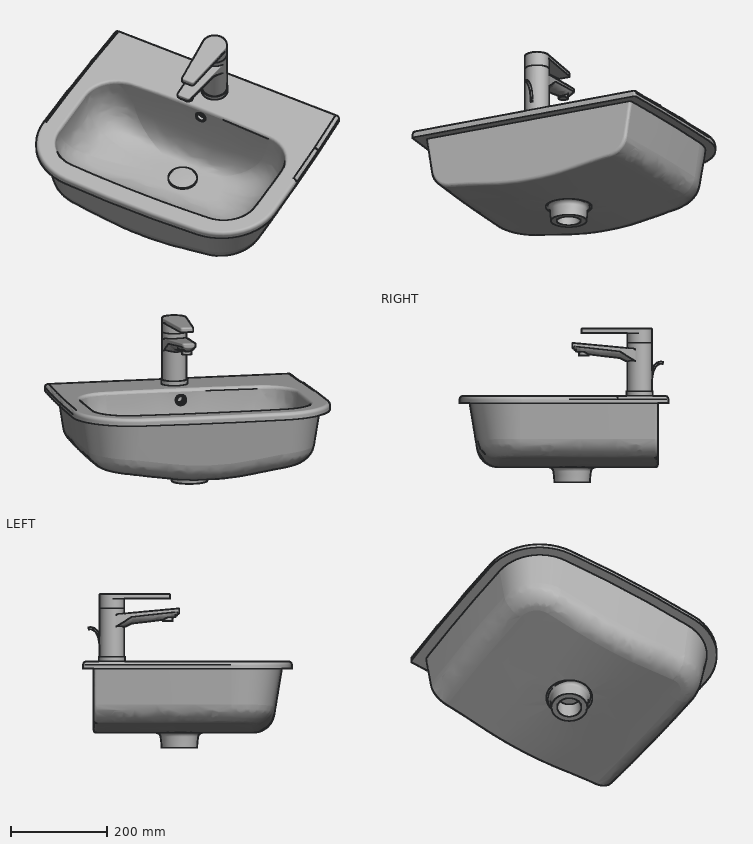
import cadquery as cq
import math


SELECTION_MARGIN = 1.0

RIM_HALF_WIDTH = 272.5
RIM_BACK_Y = 200.0
RIM_FRONT_Y = -234.5
RIM_THICKNESS = 15.0
RIM_EDGE_RADIUS = 7.5
RIM_CORNER_RADIUS = 5.0
SIDE_TAPER = 10.0
FRONT_HALF_LENGTH = 155.5
BOW_ANGLE = math.radians(3.4)

SHELL_INSET = 22.0
SHELL_FRONT_INSET = 20.5
SHELL_DRAFT_SIDE = 0.16
SHELL_DRAFT_FRONT = 0.17
SHELL_CUT_Z = -163.5
SHELL_BOTTOM_RADIUS = 46.0
SHELL_BACK_RADIUS = 6.5
FLOOR_MIDDLE_Z = -149.0
FLOOR_SLOPE_Z = -147.0
FLOOR_SLOPE_X = 46.5
FLOOR_KNEE_Z = -132.0
FLOOR_KNEE_X = 158.0
FLOOR_SIDE_Z = -129.5

NECK_BOTTOM_Z = -180.0
NECK_BOTTOM_RADIUS = 37.0
NECK_TOP_Z = -157.5
NECK_TOP_RADIUS = 39.0
NECK_FLARE = 8.5
DRAIN_BORE_DIAMETER = 50.0

BOWL_HALF_WIDTH = 229.5
BOWL_FRONT_Y = -191.5
BOWL_BACK_Y = 79.5
BOWL_END_HALF_LENGTH = 161.0
BOWL_SIDE_BOW = 0.5
BOWL_DEPTH = 136.0
BOWL_LIP_RADIUS = 6.5
BOWL_STEEP = 2.4
BOWL_GENTLE = 1.5
BOWL_LEVELS = (0.0, 0.3, 0.55, 0.75, 0.9, 1.0)
SEAT_DIAMETER = 65.5
SEAT_DEPTH = 4.5
SEAT_SIDE_ANGLE = math.radians(14)
SEAT_END_ANGLE = math.radians(44)

PLUG_DIAMETER = 60.0
PLUG_THICKNESS = 7.5
PLUG_DOME = 4.0

OVERFLOW_Z = -24.0
OVERFLOW_OUTER_DIAMETER = 23.0
OVERFLOW_INNER_DIAMETER = 16.0
OVERFLOW_FACE_Y = 78.0
OVERFLOW_RING_END_Y = 87.0
OVERFLOW_HOLE_END_Y = 98.0

TAP_Y = 140.0
TAP_DIAMETER = 52.0
TAP_BASE_DIAMETER = 55.0
TAP_BASE_HEIGHT = 9.0
TAP_JOINT_Z = 109.5
TAP_TOP_Z = 140.0

LEVER_THICKNESS = 10.0
LEVER_TIP_Y = 19.0
LEVER_TIP_HALF_WIDTH = 13.5
LEVER_TIP_RADIUS = 5.5
LEVER_EDGE_RADIUS = 3.0

SPOUT_TIP_HALF_WIDTH = 14.0
SPOUT_ROOT_HALF_WIDTH = 25.0
SPOUT_TIP_TOP_Z = 110.0
SPOUT_ROOT_TOP_Z = 97.0
SPOUT_STATIONS = (
    (TAP_Y, 66.5, 59.0),
    (98.5, 92.0, 78.0),
    (30.5, 100.0, 86.0),
    (8.5, 102.0, 91.5),
    (0.0, 103.0, 100.5),
)
SPOUT_TIP_RADIUS = 5.5
SPOUT_EDGE_RADIUS = 2.0

AERATOR_Y = 24.0
AERATOR_DIAMETER = 20.0
AERATOR_BOTTOM_Z = 83.5
AERATOR_TOP_Z = 95.5

ROD_DIAMETER = 5.0
ROD_PATH = ((163.5, 30.0), (166.0, 49.0), (174.0, 64.0), (181.0, 68.0), (188.5, 68.0))


def rim_outline(half_width, front_y, back_y, z):
    """Wire with a straight back, slightly bowed sides and front, and tangent front corners."""
    corner_radius = (half_width - FRONT_HALF_LENGTH) / (1 - math.sin(BOW_ANGLE))
    end_y = front_y + FRONT_HALF_LENGTH * math.tan(BOW_ANGLE / 2)
    side_y = end_y + corner_radius * math.cos(BOW_ANGLE)
    middle_angle = math.radians(45) - BOW_ANGLE / 2
    corner_x = half_width - corner_radius * (1 - math.cos(middle_angle))
    corner_y = side_y - corner_radius * math.sin(middle_angle)
    back_x = half_width - SIDE_TAPER
    side_mid_x = half_width - SIDE_TAPER / 4
    side_mid_y = (side_y + back_y) / 2
    return (
        cq.Workplane("XY", origin=(0, 0, z))
        .moveTo(-FRONT_HALF_LENGTH, end_y)
        .threePointArc((0, front_y), (FRONT_HALF_LENGTH, end_y))
        .threePointArc((corner_x, corner_y), (half_width, side_y))
        .threePointArc((side_mid_x, side_mid_y), (back_x, back_y))
        .lineTo(-back_x, back_y)
        .threePointArc((-side_mid_x, side_mid_y), (-half_width, side_y))
        .threePointArc((-corner_x, corner_y), (-FRONT_HALF_LENGTH, end_y))
        .close()
    )


def make_rim():
    rim = rim_outline(RIM_HALF_WIDTH, RIM_FRONT_Y, RIM_BACK_Y, -RIM_THICKNESS).extrude(RIM_THICKNESS)
    back_corners = rim.edges("|Z").edges(">Y")
    rim = back_corners.fillet(RIM_CORNER_RADIUS)
    return rim.faces(">Z").edges().fillet(RIM_EDGE_RADIUS)


def shell_outline(z):
    depth = -RIM_THICKNESS - z
    return rim_outline(
        RIM_HALF_WIDTH - SHELL_INSET - SHELL_DRAFT_SIDE * depth,
        RIM_FRONT_Y + SHELL_FRONT_INSET + SHELL_DRAFT_FRONT * depth,
        RIM_BACK_Y - SHELL_INSET,
        z,
    ).val()


def make_shell():
    """Drafted shell whose floor slopes from both sides down to the drain, with rounded edges."""
    drafted = cq.Workplane(
        cq.Solid.makeLoft([shell_outline(-RIM_THICKNESS), shell_outline(SHELL_CUT_Z)], True)
    )
    floor_points = [
        (-FLOOR_KNEE_X, FLOOR_KNEE_Z),
        (-FLOOR_SLOPE_X, FLOOR_SLOPE_Z),
        (0, FLOOR_MIDDLE_Z),
        (FLOOR_SLOPE_X, FLOOR_SLOPE_Z),
        (FLOOR_KNEE_X, FLOOR_KNEE_Z),
        (RIM_HALF_WIDTH, FLOOR_SIDE_Z),
    ]
    above_floor = (
        cq.Workplane("XZ", origin=(0, RIM_BACK_Y, 0))
        .moveTo(-RIM_HALF_WIDTH, FLOOR_SIDE_Z)
        .spline(floor_points, includeCurrent=True)
        .lineTo(RIM_HALF_WIDTH, 0)
        .lineTo(-RIM_HALF_WIDTH, 0)
        .close()
        .extrude(RIM_BACK_Y - RIM_FRONT_Y)
    )
    shell = drafted.intersect(above_floor)
    back_limit = RIM_BACK_Y - SHELL_INSET - SELECTION_MARGIN
    floor_edges = shell.faces("<Z").edges().filter(lambda edge: edge.Center().y < back_limit)
    shell = shell.newObject(floor_edges.vals()).fillet(SHELL_BOTTOM_RADIUS)
    top_limit = -RIM_THICKNESS - SELECTION_MARGIN
    back_edges = shell.faces(">Y").edges().filter(lambda edge: edge.Center().z < top_limit)
    return shell.newObject(back_edges.vals()).fillet(SHELL_BACK_RADIUS)


def make_neck():
    """Tapered outlet whose top flares out into the floor of the shell."""
    flare_top_z = NECK_TOP_Z + NECK_FLARE
    flare_mid = NECK_FLARE * math.sqrt(0.5)
    return (
        cq.Workplane("XZ")
        .moveTo(0, NECK_BOTTOM_Z)
        .lineTo(NECK_BOTTOM_RADIUS, NECK_BOTTOM_Z)
        .lineTo(NECK_TOP_RADIUS, NECK_TOP_Z)
        .threePointArc(
            (NECK_TOP_RADIUS + NECK_FLARE - flare_mid, NECK_TOP_Z + flare_mid),
            (NECK_TOP_RADIUS + NECK_FLARE, flare_top_z),
        )
        .lineTo(0, -BOWL_DEPTH)
        .close()
        .revolve(360, (0, 0), (0, 1))
    )


def inward_share(depth_share, exponent):
    """How far a superellipse wall has moved in from the lip at a share of the depth."""
    return 1 - (1 - depth_share**exponent) ** (1 / exponent)


def bowl_end_points(end_y):
    """Corner start, corner middle, corner end and end middle of the +X half of one bowl end."""
    direction = math.copysign(1, end_y)
    corner_radius = (BOWL_HALF_WIDTH - BOWL_END_HALF_LENGTH) / (1 - math.sin(BOW_ANGLE))
    corner_end_y = end_y - direction * BOWL_END_HALF_LENGTH * math.tan(BOW_ANGLE / 2)
    side_y = corner_end_y - direction * corner_radius * math.cos(BOW_ANGLE)
    middle_angle = math.radians(45) - BOW_ANGLE / 2
    return [
        (BOWL_HALF_WIDTH, side_y),
        (
            BOWL_HALF_WIDTH - corner_radius * (1 - math.cos(middle_angle)),
            side_y + direction * corner_radius * math.sin(middle_angle),
        ),
        (BOWL_END_HALF_LENGTH, corner_end_y),
        (0, end_y),
    ]


def seat_end_points(direction):
    """Points on the drain seat that the bowl end points run down to."""
    radius = SEAT_DIAMETER / 2
    angles = (SEAT_SIDE_ANGLE, (SEAT_SIDE_ANGLE + SEAT_END_ANGLE) / 2, SEAT_END_ANGLE, math.pi / 2)
    return [(radius * math.cos(angle), direction * radius * math.sin(angle)) for angle in angles]


def bowl_section(depth_share):
    """Closed wire of eight arcs, blended from the lip outline to the round drain seat."""
    share_x = inward_share(depth_share, BOWL_STEEP)

    def blend(lip_points, seat_points, share_y):
        return [
            (lip[0] + (seat[0] - lip[0]) * share_x, lip[1] + (seat[1] - lip[1]) * share_y)
            for lip, seat in zip(lip_points, seat_points)
        ]

    front = blend(bowl_end_points(BOWL_FRONT_Y), seat_end_points(-1), inward_share(depth_share, BOWL_GENTLE))
    back = blend(bowl_end_points(BOWL_BACK_Y), seat_end_points(1), share_x)
    lip_side_x = BOWL_HALF_WIDTH + BOWL_SIDE_BOW
    side_x = lip_side_x + (SEAT_DIAMETER / 2 - lip_side_x) * share_x
    side_y = (front[0][1] + back[0][1]) / 2

    def mirrored(point):
        return (-point[0], point[1])

    return (
        cq.Workplane("XY", origin=(0, 0, -BOWL_DEPTH * depth_share))
        .moveTo(*front[0])
        .threePointArc((side_x, side_y), back[0])
        .threePointArc(back[1], back[2])
        .threePointArc(back[3], mirrored(back[2]))
        .threePointArc(mirrored(back[1]), mirrored(back[0]))
        .threePointArc((-side_x, side_y), mirrored(front[0]))
        .threePointArc(mirrored(front[1]), mirrored(front[2]))
        .threePointArc(front[3], front[2])
        .threePointArc(front[1], front[0])
        .close()
        .val()
    )


def make_bowl_hollow():
    return cq.Workplane(cq.Solid.makeLoft([bowl_section(level) for level in BOWL_LEVELS]))


def cylinder(diameter, height, x, y, z):
    return cq.Workplane("XY", origin=(x, y, z)).circle(diameter / 2).extrude(height)


def overflow_cylinder(diameter, end_y):
    """Cylinder running back along +Y from the face of the overflow ring."""
    return (
        cq.Workplane("XZ", origin=(0, OVERFLOW_FACE_Y, OVERFLOW_Z))
        .circle(diameter / 2)
        .extrude(OVERFLOW_FACE_Y - end_y)
    )


def make_basin():
    basin = make_rim().union(make_shell()).union(make_neck()).cut(make_bowl_hollow())
    lip_edges = basin.faces(">Z").edges().filter(
        lambda edge: abs(edge.Center().x) < BOWL_HALF_WIDTH + SELECTION_MARGIN
        and BOWL_FRONT_Y - SELECTION_MARGIN < edge.Center().y < BOWL_BACK_Y + SELECTION_MARGIN
    )
    basin = basin.newObject(lip_edges.vals()).fillet(BOWL_LIP_RADIUS)
    seat_z = -BOWL_DEPTH - SEAT_DEPTH
    basin = basin.cut(cylinder(PLUG_DIAMETER, SEAT_DEPTH, 0, 0, seat_z))
    basin = basin.cut(cylinder(DRAIN_BORE_DIAMETER, seat_z - NECK_BOTTOM_Z, 0, 0, NECK_BOTTOM_Z))
    basin = basin.cut(overflow_cylinder(OVERFLOW_OUTER_DIAMETER, OVERFLOW_RING_END_Y))
    return basin.cut(overflow_cylinder(OVERFLOW_INNER_DIAMETER, OVERFLOW_HOLE_END_Y))


def make_plug():
    """Round cap with a shallow domed top, resting in the drain seat."""
    radius = PLUG_DIAMETER / 2
    bottom_z = -BOWL_DEPTH - SEAT_DEPTH
    edge_z = bottom_z + PLUG_THICKNESS
    dome_radius = (radius**2 + PLUG_DOME**2) / (2 * PLUG_DOME)
    half_x = radius / 2
    half_z = edge_z + PLUG_DOME - dome_radius + math.sqrt(dome_radius**2 - half_x**2)
    return (
        cq.Workplane("XZ")
        .moveTo(0, bottom_z)
        .lineTo(radius, bottom_z)
        .lineTo(radius, edge_z)
        .threePointArc((half_x, half_z), (0, edge_z + PLUG_DOME))
        .close()
        .revolve(360, (0, 0), (0, 1))
    )


def make_overflow_ring():
    ring = overflow_cylinder(OVERFLOW_OUTER_DIAMETER, OVERFLOW_RING_END_Y)
    return ring.cut(overflow_cylinder(OVERFLOW_INNER_DIAMETER, OVERFLOW_RING_END_Y))


def make_tap_base():
    return cylinder(TAP_BASE_DIAMETER, TAP_BASE_HEIGHT, 0, TAP_Y, 0)


def spout_section(y, side_z, under_z):
    """Flat-topped section with upright sides and a rounded underside."""
    root_share = y / TAP_Y
    half_width = SPOUT_TIP_HALF_WIDTH + (SPOUT_ROOT_HALF_WIDTH - SPOUT_TIP_HALF_WIDTH) * root_share
    top_z = SPOUT_TIP_TOP_Z + (SPOUT_ROOT_TOP_Z - SPOUT_TIP_TOP_Z) * root_share
    return (
        cq.Workplane("XZ", origin=(0, y, 0))
        .moveTo(-half_width, side_z)
        .lineTo(-half_width, top_z)
        .lineTo(half_width, top_z)
        .lineTo(half_width, side_z)
        .threePointArc((0, under_z), (-half_width, side_z))
        .close()
        .val()
    )


def make_spout():
    sections = [spout_section(*station) for station in SPOUT_STATIONS]
    spout = cq.Workplane(cq.Solid.makeLoft(sections, True)).clean()
    spout = spout.faces("<Y").edges("|Z").fillet(SPOUT_TIP_RADIUS)
    top_edges = spout.faces(">Z").edges("not >Y")
    return top_edges.fillet(SPOUT_EDGE_RADIUS)


def make_tap_body(aerator, rod):
    column = cylinder(TAP_DIAMETER, TAP_JOINT_Z - TAP_BASE_HEIGHT, 0, TAP_Y, TAP_BASE_HEIGHT)
    return column.union(make_spout()).cut(aerator).cut(rod)


def make_aerator():
    return cylinder(AERATOR_DIAMETER, AERATOR_TOP_Z - AERATOR_BOTTOM_Z, 0, AERATOR_Y, AERATOR_BOTTOM_Z)


def make_handle():
    """Round cap on top of the tap with a flat lever that narrows towards the front."""
    radius = TAP_DIAMETER / 2
    lever_length = TAP_Y - LEVER_TIP_Y
    taper = math.asin(radius / math.hypot(lever_length, LEVER_TIP_HALF_WIDTH)) - math.atan2(
        LEVER_TIP_HALF_WIDTH, lever_length
    )
    tangent_x = radius * math.cos(taper)
    tangent_y = TAP_Y - radius * math.sin(taper)
    lever = (
        cq.Workplane("XY", origin=(0, 0, TAP_TOP_Z - LEVER_THICKNESS))
        .moveTo(-LEVER_TIP_HALF_WIDTH, LEVER_TIP_Y)
        .lineTo(LEVER_TIP_HALF_WIDTH, LEVER_TIP_Y)
        .lineTo(tangent_x, tangent_y)
        .threePointArc((0, TAP_Y + radius), (-tangent_x, tangent_y))
        .close()
        .extrude(LEVER_THICKNESS)
        .edges("|Z and <Y")
        .fillet(LEVER_TIP_RADIUS)
        .faces(">Z")
        .edges()
        .fillet(LEVER_EDGE_RADIUS)
    )
    cap = cylinder(TAP_DIAMETER, TAP_TOP_Z - LEVER_THICKNESS - TAP_JOINT_Z, 0, TAP_Y, TAP_JOINT_Z)
    return cap.union(lever)


def make_pull_rod():
    path = cq.Workplane("YZ").spline(ROD_PATH)
    start_y, start_z = ROD_PATH[0]
    start_direction = path.val().tangentAt(0).toTuple()
    start_plane = cq.Plane(origin=(0, start_y, start_z), xDir=(1, 0, 0), normal=start_direction)
    return cq.Workplane(start_plane).circle(ROD_DIAMETER / 2).sweep(path)


basin = make_basin()
plug = make_plug()
overflow_ring = make_overflow_ring()
tap_base = make_tap_base()
aerator = make_aerator()
pull_rod = make_pull_rod()
tap_body = make_tap_body(aerator, pull_rod)
handle = make_handle()

result = cq.Compound.makeCompound([
    basin.solids().val(),
    plug.val(),
    overflow_ring.solids().val(),
    tap_base.val(),
    tap_body.solids().val(),
    aerator.val(),
    handle.solids().val(),
    pull_rod.val(),
])